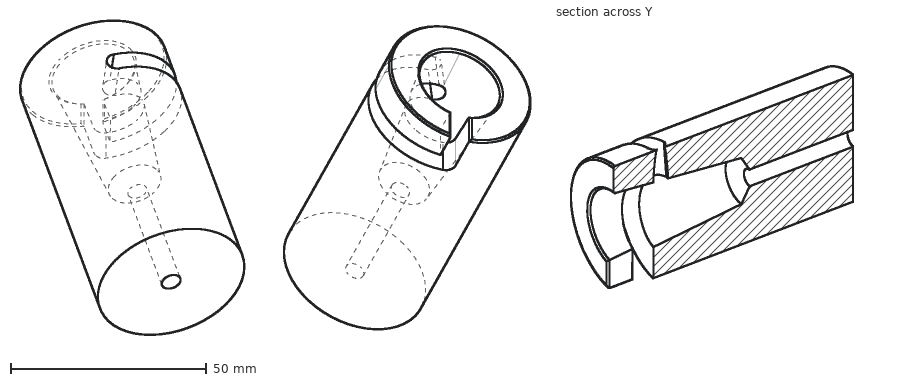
import cadquery as cq
import math

LENGTH = 75.0
RADIUS = 39.0 / 2
EDGE_CHAMFER = 0.5

SEAT_MOUTH_RADIUS = 11.1
SEAT_END_RADIUS = 7.0
SEAT_DEPTH = 40.0
MOUTH_CHAMFER = 0.6
HOLE_RADIUS = 2.5
BOTTOM_HALF_ANGLE = 60.0
BOTTOM_DEPTH = (SEAT_END_RADIUS - HOLE_RADIUS) / math.tan(math.radians(BOTTOM_HALF_ANGLE))

SLOT_WIDTH = 5.0
ENTRY_LENGTH = 10.0
HELIX_PITCH = 10.0
HELIX_ANGLE = 173.5
CUTTER_CLEARANCE = 1.5
CUTTER_INNER_RADIUS = 5.0
CUTTER_OUTER_RADIUS = RADIUS + CUTTER_CLEARANCE
CUTTER_LENGTH = CUTTER_OUTER_RADIUS - CUTTER_INNER_RADIUS


def make_body():
    body = cq.Workplane("YZ").circle(RADIUS).extrude(LENGTH)
    return body.faces("<X").edges().chamfer(EDGE_CHAMFER)


def make_socket():
    taper_slope = (SEAT_MOUTH_RADIUS - SEAT_END_RADIUS) / SEAT_DEPTH
    chamfer_end_radius = SEAT_MOUTH_RADIUS - taper_slope * MOUTH_CHAMFER
    profile = [
        (0, 0),
        (0, chamfer_end_radius + MOUTH_CHAMFER),
        (MOUTH_CHAMFER, chamfer_end_radius),
        (SEAT_DEPTH, SEAT_END_RADIUS),
        (SEAT_DEPTH + BOTTOM_DEPTH, HOLE_RADIUS),
        (LENGTH, HOLE_RADIUS),
        (LENGTH, 0),
    ]
    return cq.Workplane("XZ").polyline(profile).close().revolve(360, (0, 0, 0), (1, 0, 0))


def make_entry():
    """Straight slot from the mouth, flared by a chamfer on its two front edges."""
    half_width = SLOT_WIDTH / 2
    flared_half_width = half_width + MOUTH_CHAMFER
    outline = [
        (0, -flared_half_width),
        (MOUTH_CHAMFER, -half_width),
        (ENTRY_LENGTH, -half_width),
        (ENTRY_LENGTH, half_width),
        (MOUTH_CHAMFER, half_width),
        (0, flared_half_width),
    ]
    plane = cq.Workplane("XY").workplane(offset=-CUTTER_OUTER_RADIUS)
    return plane.polyline(outline).close().extrude(CUTTER_LENGTH)


def make_slot_end(angle):
    """Round radial cutter centred on the helix, at an angle from -Z towards +Y."""
    x = ENTRY_LENGTH + HELIX_PITCH * angle / 360
    plane = cq.Workplane("XY").workplane(offset=-CUTTER_OUTER_RADIUS)
    cutter = plane.center(x, 0).circle(SLOT_WIDTH / 2).extrude(CUTTER_LENGTH)
    return cutter.rotate((0, 0, 0), (1, 0, 0), angle)


def make_helical_run():
    """Radial rectangle swept along the helix, keeping SLOT_WIDTH square to its path at the surface."""
    lead_angle = math.atan(HELIX_PITCH / (2 * math.pi * RADIUS))
    axial_width = SLOT_WIDTH / math.cos(lead_angle)
    rise = HELIX_PITCH * HELIX_ANGLE / 360
    path = cq.Wire.makeHelix(HELIX_PITCH, rise, RADIUS)
    middle_radius = (CUTTER_INNER_RADIUS + CUTTER_OUTER_RADIUS) / 2
    section = cq.Workplane("XZ").center(middle_radius, 0)
    section = section.rect(CUTTER_LENGTH, axial_width)
    run = section.sweep(cq.Workplane(path), isFrenet=True)
    run = run.rotate((0, 0, 0), (0, 1, 0), 90)
    return run.translate((ENTRY_LENGTH, 0, 0))


result = make_body().cut(make_socket()).cut(make_entry())
result = result.cut(make_slot_end(0)).cut(make_helical_run()).cut(make_slot_end(HELIX_ANGLE))